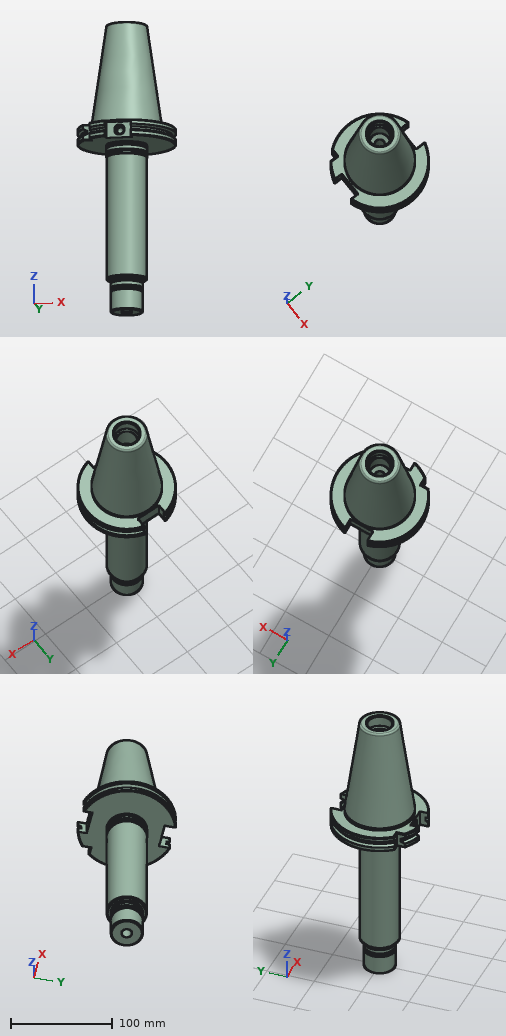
import cadquery as cq
import math

LENGTH = 289.5

TAPER_RATIO = 7 / 24
GAUGE_DIAMETER = 70.0
GAUGE_Z = 187.5
TAPER_END_FILLET = 2.0
RELIEF_DIAMETER = 69.5
RELIEF_HEIGHT = 1.2

FLANGE_DIAMETER = 97.3
FLANGE_TOP_Z = 184.8
FLANGE_THICKNESS = 16.0
FLANGE_CHAMFER = 1.0
GROOVE_Z = 177.0
GROOVE_FLOOR_WIDTH = 2.5
GROOVE_DEPTH = 3.5
GROOVE_SIDE_ANGLE = 30

KEYWAY_WIDTH = 25.8
KEYWAY_BACK_Y = 35.5
KEYWAY_FRONT_Y = 37.6
KEYWAY_MOUTH_CHAMFER = 0.5
KEYWAY_FLARE = 5.8
CORNER_NOTCH = 30.0

CHIP_HOLE_DIAMETER = 10.0
CHIP_HOLE_CHAMFER = 0.5
CHIP_HOLE_DEPTH = 4.3
PILOT_DIAMETER = 7.0
PILOT_DEPTH = 5.8
DRILL_POINT_ANGLE = 118

BAND_SIDE_ANGLE = 30

BODY_DIAMETER = 40.0
BODY_END_Z = 32.7
BODY_CHAMFER = 1.2
BODY_BAND_DIAMETER = 40.5
BODY_BANDS = ((166.2, 168.5), (160.7, 165.7), (156.5, 159.5))

NOSE_DIAMETER = 32.0
NOSE_CHAMFER = 1.0
NOSE_BAND_DIAMETER = 32.5
NOSE_BANDS = ((30.0, 32.1), (24.0, 29.2), (20.3, 23.2))

THROUGH_DIAMETER = 10.0
ENTRY_DIAMETER = 25.0
ENTRY_CHAMFER = 1.2
ENTRY_DEPTH = 12.0
THREAD_BORE_DIAMETER = 20.9
THREAD_BORE_DEPTH = 37.6

FLANGE_BOTTOM_Z = FLANGE_TOP_Z - FLANGE_THICKNESS
TAPER_END_RADIUS = (GAUGE_DIAMETER - (LENGTH - GAUGE_Z) * TAPER_RATIO) / 2


def revolve(points):
    """Solid of revolution about Z from a closed (radius, z) outline."""
    return cq.Workplane("XZ").polyline(points).close().revolve(360, (0, 0, 0), (0, 1, 0))


def cylinder(diameter, z_bottom, z_top):
    return cq.Workplane("XY").workplane(offset=z_bottom).circle(diameter / 2).extrude(z_top - z_bottom)


def shank():
    """Taper, ending at the gauge plane in a shallow relief above the flange."""
    gauge_radius = GAUGE_DIAMETER / 2
    taper = revolve([
        (0, FLANGE_TOP_Z),
        (gauge_radius, FLANGE_TOP_Z),
        (RELIEF_DIAMETER / 2, GAUGE_Z - RELIEF_HEIGHT),
        (gauge_radius, GAUGE_Z),
        (TAPER_END_RADIUS, LENGTH),
        (0, LENGTH),
    ])
    return taper.faces(">Z").edges().fillet(TAPER_END_FILLET)


def rim_groove():
    """Cutter for the V-sided groove around the flange."""
    rim = FLANGE_DIAMETER / 2
    half_floor = GROOVE_FLOOR_WIDTH / 2
    half_mouth = half_floor + GROOVE_DEPTH * math.tan(math.radians(GROOVE_SIDE_ANGLE))
    return revolve([
        (rim - GROOVE_DEPTH, GROOVE_Z - half_floor),
        (rim, GROOVE_Z - half_mouth),
        (rim + GROOVE_DEPTH, GROOVE_Z - half_mouth),
        (rim + GROOVE_DEPTH, GROOVE_Z + half_mouth),
        (rim, GROOVE_Z + half_mouth),
        (rim - GROOVE_DEPTH, GROOVE_Z + half_floor),
    ])


def flange_prism(points):
    """Prism through the full flange thickness from a closed (x, y) outline."""
    base = cq.Workplane("XY").workplane(offset=FLANGE_BOTTOM_Z)
    return base.polyline(points).close().extrude(FLANGE_THICKNESS)


def keyway(floor_y, side):
    """Cutter for a keyway with a chamfered mouth; side is +1 for the back (+Y), -1 for the front."""
    half = KEYWAY_WIDTH / 2
    mouth_half = half + KEYWAY_MOUTH_CHAMFER
    mouth_y = math.sqrt((FLANGE_DIAMETER / 2) ** 2 - mouth_half ** 2)
    flare_y = mouth_y - KEYWAY_MOUTH_CHAMFER
    return flange_prism([
        (-half, side * floor_y),
        (half, side * floor_y),
        (half, side * flare_y),
        (half + KEYWAY_FLARE, side * (flare_y + KEYWAY_FLARE)),
        (-half - KEYWAY_FLARE, side * (flare_y + KEYWAY_FLARE)),
        (-half, side * flare_y),
    ])


def corner_notch():
    """Cutter for the square notch in the -X -Y quarter of the flange."""
    outer = -FLANGE_DIAMETER
    return flange_prism([
        (-CORNER_NOTCH, -CORNER_NOTCH),
        (outer, -CORNER_NOTCH),
        (outer, outer),
        (-CORNER_NOTCH, outer),
    ])


def flange():
    """Notched disc; the rim chamfers follow the corner notch but not the keyways."""
    disc = cylinder(FLANGE_DIAMETER, FLANGE_BOTTOM_Z, FLANGE_TOP_Z).cut(corner_notch())
    disc = disc.faces("<Z or >Z").edges().chamfer(FLANGE_CHAMFER)
    return disc.cut(rim_groove()).cut(keyway(KEYWAY_BACK_Y, 1)).cut(keyway(KEYWAY_FRONT_Y, -1))


def add_bands(core, core_diameter, band_diameter, bands):
    """Adds raised rings whose ends slope back to the core diameter."""
    core_radius = core_diameter / 2
    band_radius = band_diameter / 2
    slope_height = (band_radius - core_radius) / math.tan(math.radians(BAND_SIDE_ANGLE))
    for z_bottom, z_top in bands:
        core = core.union(revolve([
            (0, z_bottom),
            (core_radius, z_bottom),
            (band_radius, z_bottom + slope_height),
            (band_radius, z_top - slope_height),
            (core_radius, z_top),
            (0, z_top),
        ]))
    return core


def body():
    """Long cylinder below the flange with its raised bands."""
    barrel = cylinder(BODY_DIAMETER, BODY_END_Z, FLANGE_BOTTOM_Z).faces("<Z").chamfer(BODY_CHAMFER)
    return add_bands(barrel, BODY_DIAMETER, BODY_BAND_DIAMETER, BODY_BANDS)


def nose():
    """Thinner end cylinder with its raised bands."""
    tip = cylinder(NOSE_DIAMETER, 0, BODY_END_Z).faces("<Z").chamfer(NOSE_CHAMFER)
    return add_bands(tip, NOSE_DIAMETER, NOSE_BAND_DIAMETER, NOSE_BANDS)


def drill_point_height(diameter, end_diameter=0):
    """Axial length of a drill-point cone between two diameters."""
    return (diameter - end_diameter) / 2 / math.tan(math.radians(DRILL_POINT_ANGLE / 2))


def bore():
    """Cutter for the stepped bore and the through hole."""
    entry = ENTRY_DIAMETER / 2
    thread = THREAD_BORE_DIAMETER / 2
    through = THROUGH_DIAMETER / 2
    entry_z = LENGTH - ENTRY_DEPTH
    thread_z = LENGTH - THREAD_BORE_DEPTH
    return revolve([
        (0, 0),
        (through, 0),
        (through, thread_z - drill_point_height(THREAD_BORE_DIAMETER, THROUGH_DIAMETER)),
        (thread, thread_z),
        (thread, entry_z - (entry - thread)),
        (entry, entry_z),
        (entry, LENGTH - ENTRY_CHAMFER),
        (entry + ENTRY_CHAMFER, LENGTH),
        (0, LENGTH),
    ])


def chip_hole():
    """Cutter for the stepped, drill-pointed hole in the front keyway floor."""
    pilot = PILOT_DIAMETER / 2
    outer = CHIP_HOLE_DIAMETER / 2
    inner = outer - CHIP_HOLE_CHAMFER
    cutter = revolve([
        (0, 0),
        (outer, 0),
        (inner, CHIP_HOLE_CHAMFER),
        (inner, CHIP_HOLE_DEPTH),
        (pilot, CHIP_HOLE_DEPTH),
        (pilot, PILOT_DEPTH),
        (0, PILOT_DEPTH + drill_point_height(PILOT_DIAMETER)),
    ])
    flange_middle_z = FLANGE_TOP_Z - FLANGE_THICKNESS / 2
    return cutter.rotate((0, 0, 0), (1, 0, 0), -90).translate((0, -KEYWAY_FRONT_Y, flange_middle_z))


result = shank().union(flange()).union(body()).union(nose())
result = result.cut(chip_hole()).cut(bore())